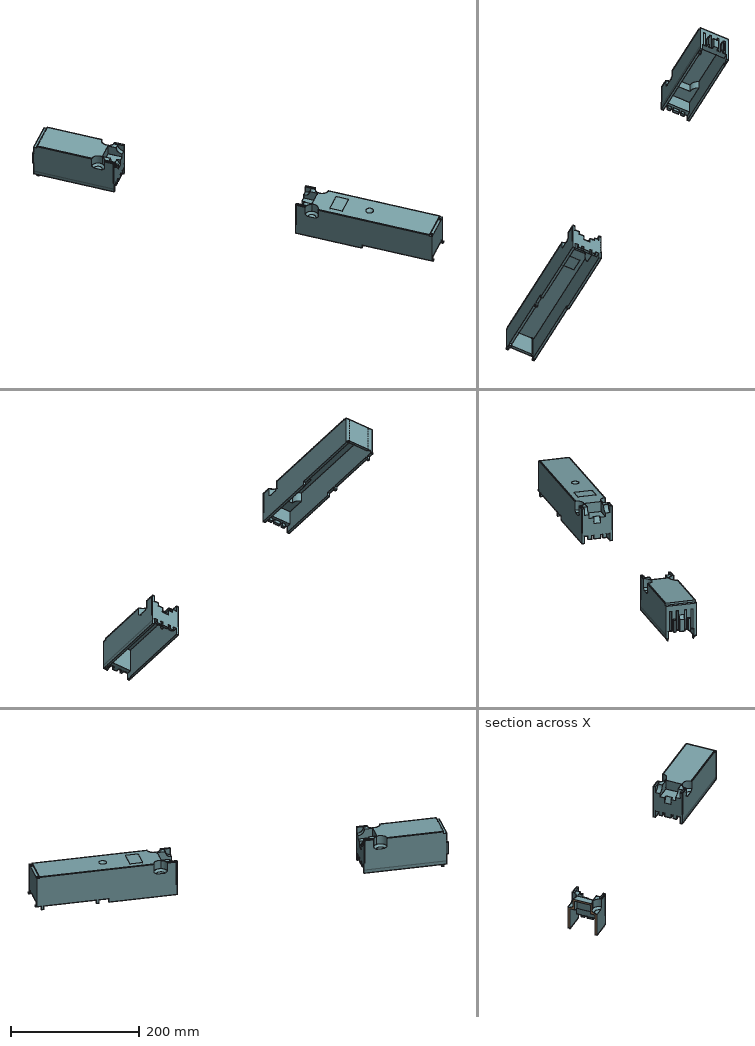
import cadquery as cq

HEIGHT = 63.0
WIDTH = 50.0
SKIRT_BOTTOM = 5.0
WALL = 4.0
HALF_WIDTH = WIDTH / 2
INNER_HALF = HALF_WIDTH - WALL
END_WALL_BOTTOM = 17.0

RECESS_LENGTH = 23.0
RECESS_HALF_WIDTH = 13.0
PLATFORM_Z = 46.5
LEDGE_LENGTH = 13.0
LEDGE_DROP = 0.5
GUIDE_RADIUS = RECESS_LENGTH - LEDGE_LENGTH
NOTCH_WIDTH = 10.5
NOTCH_DEPTH = 6.0
NOTCH_DROP = 9.0
TONGUE_BOTTOM = 11.0
TONGUE_WIDTH = 6.0
TONGUE_Y = 12.0
CENTRE_TONGUE_WIDTH = 10.5
RIM_LENGTH = 2.0
RIM_DEPTH = 0.3
RIM_BOTTOM = 23.0

BEVEL_WIDTH = 1.0
BEVEL_DROP = 0.5

POCKET_OFFSET = 26.5
POCKET_RADIUS = 10.5
POCKET_FLOOR_RADIUS = 6.5
POCKET_CONE_TOP = 48.5
POCKET_FLOOR = 45.0
POCKET_WALL = 2.5

SHORT_START = 5.0
SHORT_END = 138.5
SHORT_END_WALL = 8.0
STEP_LENGTH = 5.0
STEP_DEPTH = 3.0
RIB_LENGTH = SHORT_START
RIB_TOP = 37.0
RIB_WIDTH = 3.0
CENTRE_RIB_WIDTH = 8.0
CENTRE_RIB_SLOPE = 6.0
GROOVE_Y = (6.5, 17.0)
GROOVE_WIDTH = 3.0
GROOVE_DEPTH = 0.5
GROOVE_BOTTOM = 18.5
GROOVE_TOP = 50.5
TAPER_HEIGHT = 6.0
TAPER_INSET = 0.3
TAB_START = 9.0
TAB_LENGTH = 4.0

LONG_START = 438.5
LONG_END = 664.5
TOTAL_LENGTH = 666.5
RAISED_START = 548.5
RAISED_BOTTOM = 11.0
LIP_HEIGHT = 1.0
END_STEP_LENGTH = 4.5
END_STEP_DEPTH = 2.0
CORNER_GAP_LENGTH = 2.5
CORNER_GAP_WIDTH = 3.0
FOOT_LENGTH = 4.0
FOOT_STARTS = (564.5, 653.0)
DIMPLE_X = 552.5
DIMPLE_RADIUS = 6.0
DIMPLE_DEPTH = 2.5

LABEL_START = 492.0
LABEL_END = 512.5
LABEL_WIDTH = 30.0


def block(x0, x1, y0, y1, z0, z1):
    """Box between two opposite corners."""
    return cq.Workplane("XY").box(x1 - x0, y1 - y0, z1 - z0, centered=False).translate((x0, y0, z0))


def centred_block(x0, x1, width, z0, z1, y=0):
    """Box of the given width centred on y."""
    return block(x0, x1, y - width / 2, y + width / 2, z0, z1)


def shell(length):
    """Top and two side walls, open below and at both ends."""
    outside = centred_block(0, length, WIDTH, SKIRT_BOTTOM, HEIGHT)
    return outside.cut(centred_block(0, length, 2 * INNER_HALF, SKIRT_BOTTOM, HEIGHT - WALL))


def corner_block():
    """Wire guide at a recess corner: a flat ledge and a concave quarter round down to the end."""
    ledge_z = HEIGHT - LEDGE_DROP
    profile = (
        cq.Workplane("XZ")
        .moveTo(0, PLATFORM_Z)
        .lineTo(RECESS_LENGTH, PLATFORM_Z)
        .lineTo(RECESS_LENGTH, ledge_z)
        .lineTo(GUIDE_RADIUS, ledge_z)
        .radiusArc((0, ledge_z - GUIDE_RADIUS), GUIDE_RADIUS)
        .close()
    )
    depth = INNER_HALF - RECESS_HALF_WIDTH
    return profile.extrude(depth).translate((0, -RECESS_HALF_WIDTH, 0))


def pocket():
    """Cylinder with a conical floor, to be cut at a top edge."""
    return (
        cq.Workplane("XZ")
        .moveTo(0, POCKET_FLOOR)
        .lineTo(POCKET_FLOOR_RADIUS, POCKET_FLOOR)
        .lineTo(POCKET_RADIUS, POCKET_CONE_TOP)
        .lineTo(POCKET_RADIUS, HEIGHT)
        .lineTo(0, HEIGHT)
        .close()
        .revolve(360, (0, 0), (0, 1))
        .translate((POCKET_OFFSET, -HALF_WIDTH, 0))
    )


def pocket_housing():
    """Wall around a pocket, kept within the width of the cover."""
    bottom = POCKET_FLOOR - POCKET_WALL
    drum = (
        cq.Workplane("XY", origin=(POCKET_OFFSET, -HALF_WIDTH, bottom))
        .circle(POCKET_RADIUS + POCKET_WALL)
        .extrude(HEIGHT - bottom)
    )
    return drum.intersect(centred_block(0, 2 * POCKET_OFFSET, WIDTH, bottom, HEIGHT))


def both_sides(feature):
    """The feature together with its mirror image across the length of the cover."""
    return feature.union(feature.mirror("XZ"))


def notch():
    """Notch in the edge of the platform, with a floor sloping down towards the end."""
    return (
        cq.Workplane("XZ")
        .polyline([(0, PLATFORM_Z), (NOTCH_DEPTH, PLATFORM_Z), (0, PLATFORM_Z - NOTCH_DROP)])
        .close()
        .extrude(NOTCH_WIDTH / 2, both=True)
    )


def top_bevel(length):
    """Wedge taken off the top edge of a side wall."""
    return (
        cq.Workplane("YZ")
        .polyline([
            (-HALF_WIDTH, HEIGHT),
            (BEVEL_WIDTH - HALF_WIDTH, HEIGHT),
            (-HALF_WIDTH, HEIGHT - BEVEL_DROP),
        ])
        .close()
        .extrude(length)
    )


def terminal_cover(length):
    """Cover shell with its terminal end at X = 0."""
    inside_end = RECESS_LENGTH + WALL
    cover = shell(length)
    cover = cover.union(centred_block(0, inside_end, WIDTH, PLATFORM_Z - WALL, HEIGHT))
    cover = cover.union(both_sides(pocket_housing()))
    cover = cover.union(centred_block(0, 2 * WALL, WIDTH, END_WALL_BOTTOM, PLATFORM_Z))
    for y, width in ((-TONGUE_Y, TONGUE_WIDTH), (0, CENTRE_TONGUE_WIDTH), (TONGUE_Y, TONGUE_WIDTH)):
        cover = cover.union(centred_block(0, WALL, width, TONGUE_BOTTOM, PLATFORM_Z, y))

    cover = cover.cut(centred_block(0, RECESS_LENGTH, 2 * INNER_HALF, PLATFORM_Z, HEIGHT))
    cover = cover.union(both_sides(corner_block()))
    cover = cover.cut(both_sides(pocket())).cut(notch())
    rim_step = block(0, RIM_LENGTH, -HALF_WIDTH, RIM_DEPTH - HALF_WIDTH, RIM_BOTTOM, HEIGHT)
    return cover.cut(both_sides(rim_step)).cut(both_sides(top_bevel(length)))


def centre_rib():
    """Rib with a sloped top on the closed end of the short cover."""
    return (
        cq.Workplane("XZ")
        .moveTo(SHORT_START, END_WALL_BOTTOM)
        .lineTo(SHORT_START - RIB_LENGTH, END_WALL_BOTTOM)
        .lineTo(SHORT_START - RIB_LENGTH, RIB_TOP)
        .lineTo(SHORT_START, RIB_TOP + CENTRE_RIB_SLOPE)
        .close()
        .extrude(CENTRE_RIB_WIDTH / 2, both=True)
    )


def skirt_taper():
    """Wedge taken off the outside of a side wall along its lower edge."""
    return (
        cq.Workplane("YZ", origin=(SHORT_START, 0, 0))
        .moveTo(-HALF_WIDTH, SKIRT_BOTTOM)
        .lineTo(TAPER_INSET - HALF_WIDTH, SKIRT_BOTTOM)
        .lineTo(-HALF_WIDTH, SKIRT_BOTTOM + TAPER_HEIGHT)
        .close()
        .extrude(SHORT_END - SHORT_START)
    )


def snap_tab():
    """Pointed tab below a side wall of the short cover."""
    return (
        cq.Workplane("YZ", origin=(TAB_START, 0, 0))
        .moveTo(TAPER_INSET - HALF_WIDTH, SKIRT_BOTTOM)
        .lineTo(-INNER_HALF, 0)
        .lineTo(-INNER_HALF, SKIRT_BOTTOM)
        .close()
        .extrude(TAB_LENGTH)
    )


def make_short_cover():
    cover = terminal_cover(SHORT_END - SHORT_START).mirror("YZ").translate((SHORT_END, 0, 0))
    end_wall_back = SHORT_START + SHORT_END_WALL
    step_end = SHORT_START + STEP_LENGTH
    step_z = HEIGHT - STEP_DEPTH
    end_wall = centred_block(SHORT_START, end_wall_back, 2 * INNER_HALF, END_WALL_BOTTOM, step_z)
    cover = cover.union(end_wall)
    cover = cover.cut(centred_block(SHORT_START, step_end, WIDTH, step_z, HEIGHT))

    groove_back = SHORT_START + GROOVE_DEPTH
    for y in GROOVE_Y:
        groove = centred_block(SHORT_START, groove_back, GROOVE_WIDTH, GROOVE_BOTTOM, GROOVE_TOP, y)
        cover = cover.cut(both_sides(groove))
    rib_start = SHORT_START - RIB_LENGTH
    rib = centred_block(rib_start, SHORT_START, RIB_WIDTH, END_WALL_BOTTOM, RIB_TOP, TONGUE_Y)
    cover = cover.union(both_sides(rib)).union(centre_rib())
    return cover.cut(both_sides(skirt_taper())).union(both_sides(snap_tab()))


def dimple():
    """Conical dimple in the top of the long cover."""
    centre = cq.Vector(DIMPLE_X, 0, HEIGHT)
    down = cq.Vector(0, 0, -1)
    cone = cq.Solid.makeCone(DIMPLE_RADIUS, 0, DIMPLE_DEPTH, centre, down)
    return cq.Workplane(cone)


def make_label_plate():
    return centred_block(LABEL_START, LABEL_END, LABEL_WIDTH, HEIGHT - WALL, HEIGHT)


def make_long_cover():
    cover = terminal_cover(LONG_END - LONG_START).translate((LONG_START, 0, 0))
    cover = cover.cut(centred_block(RAISED_START, LONG_END, WIDTH, SKIRT_BOTTOM, RAISED_BOTTOM))
    end_wall_start = LONG_END - WALL
    step_start = LONG_END - END_STEP_LENGTH
    step_z = HEIGHT - END_STEP_DEPTH
    end_wall = centred_block(end_wall_start, LONG_END, 2 * INNER_HALF, END_WALL_BOTTOM, step_z)
    cover = cover.union(end_wall)
    cover = cover.cut(centred_block(step_start, LONG_END, WIDTH, step_z, HEIGHT))

    gap_end = step_start + CORNER_GAP_LENGTH
    gap_edge = CORNER_GAP_WIDTH - INNER_HALF
    corner_gap = block(step_start, gap_end, -INNER_HALF, gap_edge, RAISED_BOTTOM, HEIGHT)
    cover = cover.cut(both_sides(corner_gap))

    lip_top = RAISED_BOTTOM + LIP_HEIGHT
    lip = block(end_wall_start, TOTAL_LENGTH, -HALF_WIDTH, -INNER_HALF, RAISED_BOTTOM, lip_top)
    cover = cover.union(both_sides(lip))
    for x in FOOT_STARTS:
        foot = block(x, x + FOOT_LENGTH, INNER_HALF, HALF_WIDTH, SKIRT_BOTTOM, RAISED_BOTTOM)
        cover = cover.union(foot)
    return cover.cut(make_label_plate()).cut(dimple())


short_cover = make_short_cover()
long_cover = make_long_cover()
label_plate = make_label_plate()
result = cq.Compound.makeCompound([short_cover.val(), long_cover.val(), label_plate.val()])